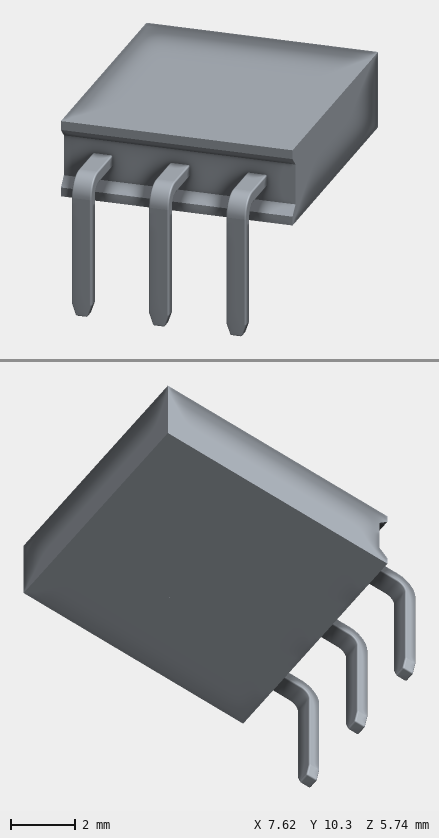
import cadquery as cq


total_width = 7.62
module_count = 3
pitch = total_width / module_count
housing_height = pitch
housing_length = 8.5
overall_length = 10.3
overall_height = 5.74

recess_depth = 0.3
lip_height = 0.3
lip_slope = 0.3

pin_width = 0.65
pin_thickness = 0.4
pin_edge_radius = 0.05
bend_outer_radius = 0.7
bend_inner_radius = bend_outer_radius - pin_thickness
tip_width = 0.37
tip_length = 0.4

tolerance = 0.0001

pin_top = (housing_height + pin_thickness) / 2
pin_underside = pin_top - pin_thickness
pin_front = housing_length - overall_length
pin_back = pin_front + pin_thickness
pin_bottom = housing_height - overall_height
taper_start = pin_bottom + tip_length
bend_y = pin_front + bend_outer_radius
bend_z = pin_top - bend_outer_radius


def make_housing():
    """Block centred on X = 0 whose front has a recess with sloped top and bottom."""
    return (
        cq.Workplane("YZ")
        .moveTo(0, 0)
        .lineTo(0, lip_height)
        .lineTo(recess_depth, lip_height + lip_slope)
        .lineTo(recess_depth, housing_height - lip_height - lip_slope)
        .lineTo(0, housing_height - lip_height)
        .lineTo(0, housing_height)
        .lineTo(housing_length, housing_height)
        .lineTo(housing_length, 0)
        .close()
        .extrude(pitch / 2, both=True)
    )


def make_bent_bar():
    """Flat bar leaving the recess floor, bent down by a quarter turn."""
    return (
        cq.Workplane("YZ")
        .moveTo(recess_depth, pin_top)
        .lineTo(bend_y, pin_top)
        .radiusArc((pin_front, bend_z), -bend_outer_radius)
        .lineTo(pin_front, pin_bottom)
        .lineTo(pin_back, pin_bottom)
        .lineTo(pin_back, bend_z)
        .radiusArc((bend_y, pin_underside), bend_inner_radius)
        .lineTo(recess_depth, pin_underside)
        .close()
        .extrude(pin_width / 2, both=True)
    )


def make_taper_envelope():
    """Block as wide as the pin: straight sides tapering at the lower end."""
    return (
        cq.Workplane("XZ", origin=(0, recess_depth, 0))
        .moveTo(-pin_width / 2, pin_top)
        .lineTo(-pin_width / 2, taper_start)
        .lineTo(-tip_width / 2, pin_bottom)
        .lineTo(tip_width / 2, pin_bottom)
        .lineTo(pin_width / 2, taper_start)
        .lineTo(pin_width / 2, pin_top)
        .close()
        .extrude(recess_depth - pin_front)
    )


def is_rounded(edge):
    """True for the long corner edges and the end edges of the tip."""
    center = edge.Center()
    on_recess_floor = abs(center.y - recess_depth) < tolerance
    across_bend = abs(center.x) < tolerance and center.z > pin_bottom + tolerance
    at_taper_start = abs(center.z - taper_start) < tolerance
    return not (on_recess_floor or across_bend or at_taper_start)


def make_pin():
    """Bent pin with a tapered tip and rounded edges."""
    pin = make_bent_bar().intersect(make_taper_envelope())
    corner_edges = [edge for edge in pin.edges().vals() if is_rounded(edge)]
    return pin.newObject(corner_edges).fillet(pin_edge_radius)


def make_module():
    """Housing block and pin as a single solid."""
    return make_housing().union(make_pin())


module = make_module().val()
modules = []
for index in range(module_count):
    offset = (index - (module_count - 1) / 2) * pitch
    modules.append(module.translate(cq.Vector(offset, 0, 0)))

result = cq.Compound.makeCompound(modules)